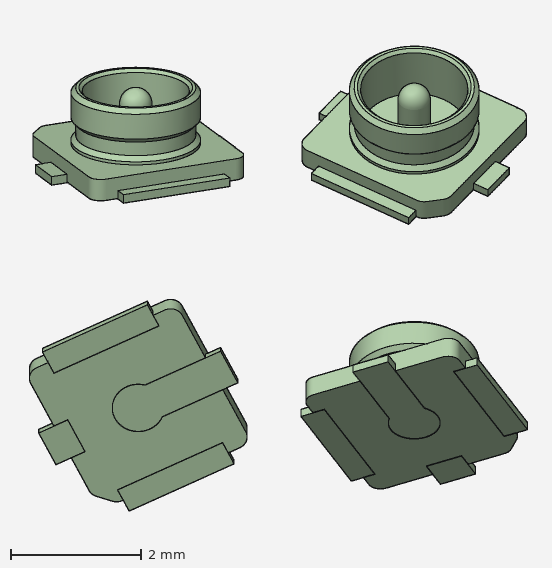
import cadquery as cq
import math

overall_x = 3.0
overall_y = 3.12
overall_z = 1.26

base_side = 2.6
base_top = 0.36
standoff = 0.01
corner_radius = 0.2
key_chamfer = 0.3

tab_height = 0.14
side_tab_length = 1.8
side_tab_depth = 0.4
end_tab_width = 0.6
end_tab_depth = 0.5

barrel_radius = 0.998
barrel_bevel = 0.075
lower_rim_height = 0.05
lip_bottom = 0.78
bore_radius = 0.825
bore_bevel = 0.05

pin_radius = 0.25
pin_top = 1.25
pin_pad_radius = 0.4


def make_base():
    """Rounded square plate with one corner cut off as an orientation key."""
    thickness = base_top - standoff
    plate = cq.Workplane("XY").workplane(offset=standoff).rect(base_side, base_side).extrude(thickness)
    plate = plate.edges("|Z and <X and <Y").chamfer(key_chamfer)
    return plate.edges("|Z").fillet(corner_radius)


def make_tab(size_x, size_y, centre_x, centre_y):
    """Flat solder tab resting on the bottom plane."""
    tab = cq.Workplane("XY").box(size_x, size_y, tab_height, centered=(True, True, False))
    return tab.translate((centre_x, centre_y, 0))


def make_barrel():
    """Grooved, open-topped barrel turned about Z, floored level with the base top."""
    groove_radius = barrel_radius - barrel_bevel
    rim_top = base_top + lower_rim_height
    profile = [
        (0, standoff),
        (barrel_radius, standoff),
        (barrel_radius, rim_top),
        (groove_radius, rim_top + barrel_bevel),
        (groove_radius, lip_bottom - barrel_bevel),
        (barrel_radius, lip_bottom),
        (barrel_radius, overall_z - barrel_bevel),
        (groove_radius, overall_z),
        (bore_radius + bore_bevel, overall_z),
        (bore_radius, overall_z - bore_bevel),
        (bore_radius, base_top),
        (0, base_top),
    ]
    return cq.Workplane("XZ").polyline(profile).close().revolve(360, (0, 0), (0, 1))


def make_pin():
    """Centre contact with a hemispherical tip, turned about Z."""
    shoulder_z = pin_top - pin_radius
    arc_offset = pin_radius * math.sqrt(0.5)
    profile = (
        cq.Workplane("XZ")
        .moveTo(0, 0)
        .lineTo(pin_radius, 0)
        .lineTo(pin_radius, shoulder_z)
        .threePointArc((arc_offset, shoulder_z + arc_offset), (0, pin_top))
        .close()
    )
    return profile.revolve(360, (0, 0), (0, 1))


def make_pin_contact():
    """Strip from the +Y edge to a round pad under the centre pin."""
    strip_length = overall_y / 2
    strip = make_tab(end_tab_width, strip_length, 0, strip_length / 2)
    pad = cq.Workplane("XY").circle(pin_pad_radius).extrude(tab_height)
    return strip.union(pad)


result = make_base().union(make_barrel()).union(make_pin()).union(make_pin_contact())

for side in (-1, 1):
    side_tab_x = side * (overall_x - side_tab_depth) / 2
    result = result.union(make_tab(side_tab_depth, side_tab_length, side_tab_x, 0))
end_tab_y = (end_tab_depth - overall_y) / 2
result = result.union(make_tab(end_tab_width, end_tab_depth, 0, end_tab_y))